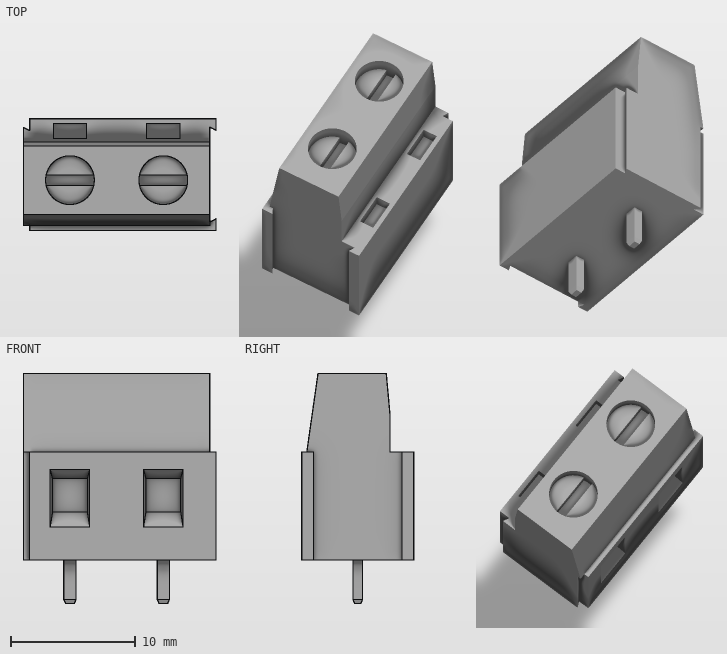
import cadquery as cq

POLES = 2
PITCH = 7.5
OVERLAP = 0.1

WIDTH = POLES * PITCH
DEPTH = 9.0
HEIGHT = 15.0
SHELF_Z = 8.7
TOWER_BACK_Y = 2.6
TOWER_TOP_BACK_Y = 2.3
TOWER_TOP_FRONT_Y = -3.2
TOWER_FRONT_Y = -4.1
BACK_TAPER_Z = 11.7

RAIL_REACH = 0.5
RAIL_ROOT = 0.7
RAIL_TIP = 0.95

WELL_DIAMETER = 3.92
WELL_DEPTH = 1.2
WELL_Y = -0.45
DRIVER_SLOT_WIDTH = 0.84
DRIVER_SLOT_DEPTH = 0.8

FUNNEL_DEPTH = 1.45
FUNNEL_MOUTH_WIDTH = 3.17
FUNNEL_MOUTH_BOTTOM_Z = 2.65
FUNNEL_MOUTH_TOP_Z = 7.3
FUNNEL_FLOOR_WIDTH = 2.8
FUNNEL_FLOOR_BOTTOM_Z = 3.85
FUNNEL_FLOOR_TOP_Z = 6.55

SHELF_POCKET_WIDTH = 2.68
SHELF_POCKET_LENGTH = 1.22
SHELF_POCKET_DEPTH = 1.0
SHELF_POCKET_INSET = 0.38

PIN_WIDTH = 1.0
PIN_THICKNESS = 0.8
PIN_LENGTH = 3.5
PIN_TIP_LENGTH = 0.35
PIN_TIP_INSET = 0.15

LEFT_X = -WIDTH / 2
RIGHT_X = WIDTH / 2
BACK_Y = DEPTH / 2
FRONT_Y = -DEPTH / 2
POLE_XS = [LEFT_X + PITCH * (i + 0.5) for i in range(POLES)]


def housing():
    """Stepped and tapered side profile, extruded along X."""
    profile = [
        (FRONT_Y, 0),
        (BACK_Y, 0),
        (BACK_Y, SHELF_Z),
        (TOWER_BACK_Y, SHELF_Z),
        (TOWER_BACK_Y, BACK_TAPER_Z),
        (TOWER_TOP_BACK_Y, HEIGHT),
        (TOWER_TOP_FRONT_Y, HEIGHT),
        (TOWER_FRONT_Y, SHELF_Z),
        (FRONT_Y, SHELF_Z),
    ]
    return cq.Workplane("YZ", origin=(LEFT_X, 0, 0)).polyline(profile).close().extrude(WIDTH)


def dovetail(root_x, side):
    """Half-dovetail prism at the back (side = 1) or front (side = -1), widening toward +X."""
    outer_y = side * DEPTH / 2
    tip_x = root_x + RAIL_REACH
    outline = [
        (root_x, outer_y),
        (tip_x, outer_y),
        (tip_x, outer_y - side * RAIL_TIP),
        (root_x, outer_y - side * RAIL_ROOT),
    ]
    return cq.Workplane("XY").polyline(outline).close().extrude(SHELF_Z)


def screw_well(x):
    """Round well with a flat floor and a driver slot across the screw head below it."""
    floor_z = HEIGHT - WELL_DEPTH
    radius = WELL_DIAMETER / 2
    well = cq.Workplane("XY", origin=(x, WELL_Y, floor_z)).circle(radius).extrude(WELL_DEPTH + OVERLAP)
    head_plane = cq.Workplane("XY", origin=(x, WELL_Y, floor_z - DRIVER_SLOT_DEPTH))
    head = head_plane.circle(radius).extrude(DRIVER_SLOT_DEPTH + OVERLAP)
    slot = head_plane.rect(WELL_DIAMETER, DRIVER_SLOT_WIDTH).extrude(DRIVER_SLOT_DEPTH + OVERLAP)
    return well.union(head.intersect(slot))


def wire_funnel(x):
    """Rectangular pocket that narrows from the front face to its flat floor."""
    mouth_height = FUNNEL_MOUTH_TOP_Z - FUNNEL_MOUTH_BOTTOM_Z
    mouth_z = (FUNNEL_MOUTH_TOP_Z + FUNNEL_MOUTH_BOTTOM_Z) / 2
    floor_height = FUNNEL_FLOOR_TOP_Z - FUNNEL_FLOOR_BOTTOM_Z
    floor_z = (FUNNEL_FLOOR_TOP_Z + FUNNEL_FLOOR_BOTTOM_Z) / 2
    return (
        cq.Workplane("XZ", origin=(x, FRONT_Y, mouth_z))
        .rect(FUNNEL_MOUTH_WIDTH, mouth_height)
        .workplane(offset=-FUNNEL_DEPTH)
        .center(0, floor_z - mouth_z)
        .rect(FUNNEL_FLOOR_WIDTH, floor_height)
        .loft(ruled=True)
    )


def shelf_pocket(x):
    """Rectangular pocket sunk into the rear shelf."""
    center_y = BACK_Y - SHELF_POCKET_INSET - SHELF_POCKET_LENGTH / 2
    return (
        cq.Workplane("XY", origin=(x, center_y, SHELF_Z - SHELF_POCKET_DEPTH))
        .rect(SHELF_POCKET_WIDTH, SHELF_POCKET_LENGTH)
        .extrude(SHELF_POCKET_DEPTH + OVERLAP)
    )


def pin(x):
    """Rectangular solder pin with a tapered tip, reaching slightly into the housing."""
    shank_length = PIN_LENGTH - PIN_TIP_LENGTH
    shank = (
        cq.Workplane("XY", origin=(x, 0, -shank_length))
        .rect(PIN_WIDTH, PIN_THICKNESS)
        .extrude(shank_length + OVERLAP)
    )
    tip = (
        cq.Workplane("XY", origin=(x, 0, -shank_length))
        .rect(PIN_WIDTH, PIN_THICKNESS)
        .workplane(offset=-PIN_TIP_LENGTH)
        .rect(PIN_WIDTH - 2 * PIN_TIP_INSET, PIN_THICKNESS - 2 * PIN_TIP_INSET)
        .loft(ruled=True)
    )
    return shank.union(tip)


result = housing()
for edge_side in (1, -1):
    result = result.cut(dovetail(LEFT_X, edge_side))
    result = result.union(dovetail(RIGHT_X, edge_side))
for pole_x in POLE_XS:
    result = result.cut(screw_well(pole_x))
    result = result.cut(wire_funnel(pole_x))
    result = result.cut(shelf_pocket(pole_x))
    result = result.union(pin(pole_x))